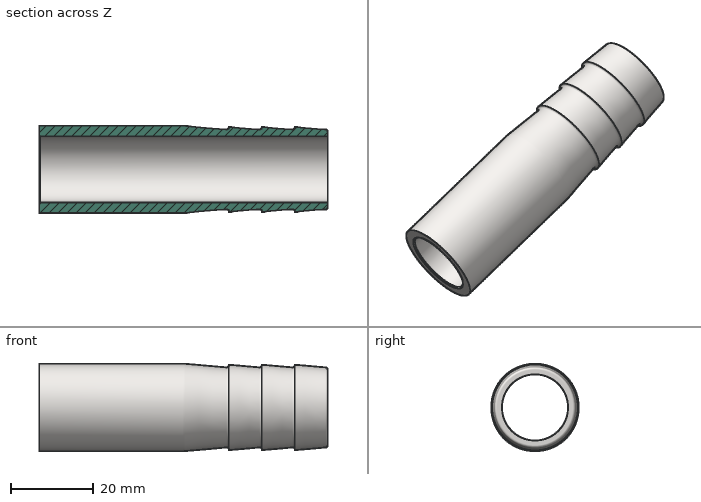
import cadquery as cq
import math

total_length = 70.0
pipe_diameter = 21.3
bore_diameter = 16.0
bore_chamfer = 0.3

pipe_length = 35.05
shoulder_blend_radius = 3.0
crest_diameter = 20.8
root_diameter = 19.5
barb_count = 3
barb_pitch = 8.0
root_land = 0.1
root_fillet = 0.5
tip_fillet = 0.55

pipe_radius = pipe_diameter / 2
bore_radius = bore_diameter / 2
crest_radius = crest_diameter / 2
root_radius = root_diameter / 2
first_crest_x = total_length - barb_count * barb_pitch
first_root_x = first_crest_x - root_fillet - root_land


def arc_point(center_x, center_radius, arc_radius, angle):
    """Point on a profile arc; the angle is in radians from the +X direction."""
    return (
        center_x + arc_radius * math.cos(angle),
        center_radius + arc_radius * math.sin(angle),
    )


def add_shoulder(profile):
    """Run along the plain pipe and round the convex edge into the first taper."""
    center_radius = pipe_radius - shoulder_blend_radius
    run = first_root_x - pipe_length
    rise = root_radius - center_radius
    tangent_angle = math.atan2(rise, run) + math.acos(shoulder_blend_radius / math.hypot(run, rise))
    middle_angle = (tangent_angle + math.pi / 2) / 2
    return (
        profile.lineTo(pipe_length, pipe_radius)
        .threePointArc(
            arc_point(pipe_length, center_radius, shoulder_blend_radius, middle_angle),
            arc_point(pipe_length, center_radius, shoulder_blend_radius, tangent_angle),
        )
    )


def add_barb(profile, crest_x):
    """Taper down to the root land, then rise through the concave fillet to a sharp crest."""
    fillet_start_x = crest_x - root_fillet
    fillet_top = root_radius + root_fillet
    return (
        profile.lineTo(fillet_start_x - root_land, root_radius)
        .lineTo(fillet_start_x, root_radius)
        .threePointArc(
            arc_point(fillet_start_x, fillet_top, root_fillet, -math.pi / 4),
            (crest_x, fillet_top),
        )
        .lineTo(crest_x, crest_radius)
    )


def add_rounded_tip(profile):
    """Taper down to the root diameter and round the outer corner of the hose end."""
    fillet_start_x = total_length - tip_fillet
    fillet_bottom = root_radius - tip_fillet
    return (
        profile.lineTo(fillet_start_x, root_radius)
        .threePointArc(
            arc_point(fillet_start_x, fillet_bottom, tip_fillet, math.pi / 4),
            (total_length, fillet_bottom),
        )
    )


def make_body():
    """Half section of the tube, bore and inlet chamfer included, revolved about the X axis."""
    profile = (
        cq.Workplane("XZ")
        .moveTo(0, bore_radius + bore_chamfer)
        .lineTo(0, pipe_radius)
    )
    profile = add_shoulder(profile)
    for index in range(barb_count):
        profile = add_barb(profile, first_crest_x + index * barb_pitch)
    profile = add_rounded_tip(profile)
    return (
        profile.lineTo(total_length, bore_radius)
        .lineTo(bore_chamfer, bore_radius)
        .close()
        .revolve(360, (0, 0, 0), (1, 0, 0))
    )


result = make_body()